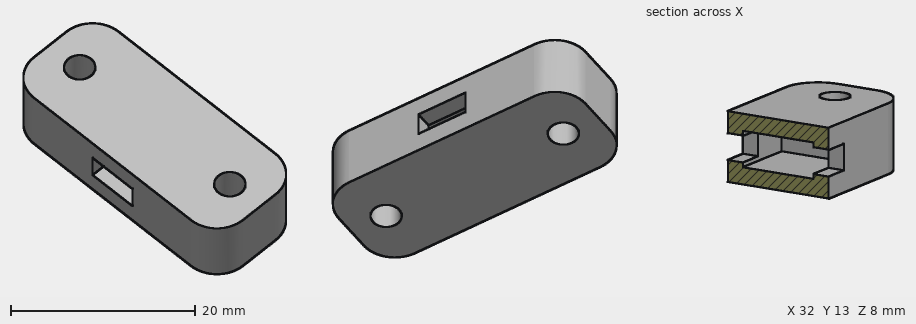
import cadquery as cq

length = 32.0
width = 13.0
height = 8.0
corner_radius = 4.0

hole_diameter = 3.4
hole_spacing = 22.98

slot_length = 6.08
slot_height = 2.98

wall = 2.0
cavity_length = hole_spacing - hole_diameter - 2 * wall
cavity_width = width - 2 * wall
cavity_height = height - 2 * wall


def rounded_block():
    return cq.Workplane("XY").box(length, width, height).edges("|Z").fillet(corner_radius)


def mounting_holes():
    return (
        cq.Workplane("XY")
        .pushPoints([(-hole_spacing / 2, 0), (hole_spacing / 2, 0)])
        .circle(hole_diameter / 2)
        .extrude(height, both=True)
    )


def cross_slot():
    return cq.Workplane("XY").box(slot_length, width, slot_height)


def inner_cavity():
    return cq.Workplane("XY").box(cavity_length, cavity_width, cavity_height)


result = rounded_block().cut(mounting_holes()).cut(cross_slot()).cut(inner_cavity())